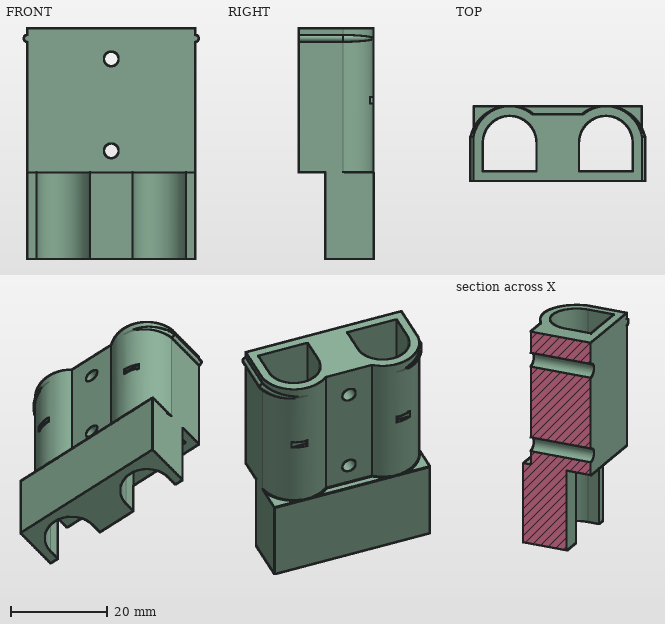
import cadquery as cq

body_width = 35.0
total_height = 48.0
barrel_spacing = 20.0
barrel_center_y = 8.0
barrel_radius = 7.6
web_depth = 13.88

socket_radius = 5.55
socket_front_y = 2.1

block_height = 18.0
block_front_y = 5.5
block_back_y = 15.62
block_chamfer = 0.12
root_chamfer = 0.12

hole_diameter = 3.0
hole_heights = (22.5, 41.6)

bead_radius = 0.75
bead_center_inset = 0.06
bead_drop = 2.15
bead_ring_shift = 0.8

notch_depth = 0.78
notch_height = 1.4
notch_center_z = 33.0

half_width = body_width / 2
barrel_x = barrel_spacing / 2
barrel_centers = ((-barrel_x, barrel_center_y), (barrel_x, barrel_center_y))
shoulder_rise = (barrel_radius**2 - (half_width - barrel_x) ** 2) ** 0.5
shoulder_y = barrel_center_y + shoulder_rise
bead_x = half_width - bead_center_inset
bead_z = total_height - bead_drop
crest_y = barrel_center_y + barrel_radius
bead_ring_y = barrel_center_y - bead_ring_shift
bead_ring_radius = crest_y - bead_ring_y - bead_radius


def box(x_min, x_max, y_min, y_max, z_min, z_max):
    """Box given by its limits along each axis."""
    size = (x_max - x_min, y_max - y_min, z_max - z_min)
    return cq.Workplane("XY").box(*size, centered=False).translate((x_min, y_min, z_min))


def upper_body():
    """Front slab and web joined to two barrels, trimmed to the body width."""
    barrels = (
        cq.Workplane("XY", origin=(0, 0, block_height))
        .pushPoints(barrel_centers)
        .circle(barrel_radius)
        .extrude(total_height - block_height)
    )
    slab = box(-half_width, half_width, 0, shoulder_y, block_height, total_height)
    web = box(-barrel_x, barrel_x, 0, web_depth, block_height, total_height)
    limits = box(-half_width, half_width, 0, crest_y, block_height, total_height)
    return slab.union(web).union(barrels).intersect(limits)


def lower_block():
    """Rectangular block below the barrels, set back from the front face."""
    block = box(-half_width, half_width, block_front_y, block_back_y, 0, block_height)
    return block.faces(">Y").edges("|Z or >Z").chamfer(block_chamfer)


def root_flare():
    """Small chamfer around the foot of the barrels and the web, on top of the block."""
    barrel_feet = (
        cq.Workplane("XY", origin=(0, 0, block_height))
        .pushPoints(barrel_centers)
        .circle(barrel_radius + root_chamfer)
        .extrude(root_chamfer, taper=45)
    )
    web_foot = (
        cq.Workplane("YZ", origin=(-barrel_x, 0, 0))
        .moveTo(barrel_center_y, block_height)
        .lineTo(web_depth + root_chamfer, block_height)
        .lineTo(web_depth, block_height + root_chamfer)
        .lineTo(barrel_center_y, block_height + root_chamfer)
        .close()
        .extrude(barrel_spacing)
    )
    block_top = box(
        -half_width,
        half_width,
        barrel_center_y,
        block_back_y - block_chamfer,
        block_height,
        block_height + root_chamfer,
    )
    return barrel_feet.union(web_foot).intersect(block_top)


def left_socket():
    """Through socket with a round back and a square front."""
    round_back = (
        cq.Workplane("XY")
        .center(-barrel_x, barrel_center_y)
        .circle(socket_radius)
        .extrude(total_height)
    )
    square_front = box(
        -barrel_x - socket_radius,
        -barrel_x + socket_radius,
        socket_front_y,
        barrel_center_y,
        0,
        total_height,
    )
    return round_back.union(square_front)


def screw_holes():
    """Holes along Y through the web on the centre plane."""
    return (
        cq.Workplane("XZ")
        .pushPoints([(0, height) for height in hole_heights])
        .circle(hole_diameter / 2)
        .extrude(-crest_y)
    )


def left_snap_bead():
    """Round bead along the left side wall that fades out around the barrel."""
    straight = (
        cq.Workplane("XZ")
        .center(-bead_x, bead_z)
        .circle(bead_radius)
        .extrude(-shoulder_y)
    )
    ring = (
        cq.Workplane("XZ", origin=(-barrel_x, bead_ring_y, bead_z))
        .center(-bead_ring_radius, 0)
        .circle(bead_radius)
        .revolve(360, (bead_ring_radius, 0, 0), (bead_ring_radius, 1, 0))
    )
    outer_quarter = box(
        -barrel_x - bead_ring_radius - bead_radius,
        -barrel_x,
        shoulder_y,
        crest_y,
        bead_z - bead_radius,
        bead_z + bead_radius,
    )
    return straight, ring.intersect(outer_quarter)


def left_notch():
    """Shallow notch in the back of the left barrel."""
    return box(
        -half_width,
        -barrel_x,
        crest_y - notch_depth,
        crest_y,
        notch_center_z - notch_height / 2,
        notch_center_z + notch_height / 2,
    )


def with_mirror(shape):
    """The shape together with its mirror image across the centre plane."""
    return shape.union(shape.mirror("YZ"))


result = upper_body().union(lower_block()).union(root_flare())
for bead_part in left_snap_bead():
    result = result.union(with_mirror(bead_part))
result = result.cut(with_mirror(left_notch()))
result = result.cut(with_mirror(left_socket()))
result = result.cut(screw_holes()).solids()